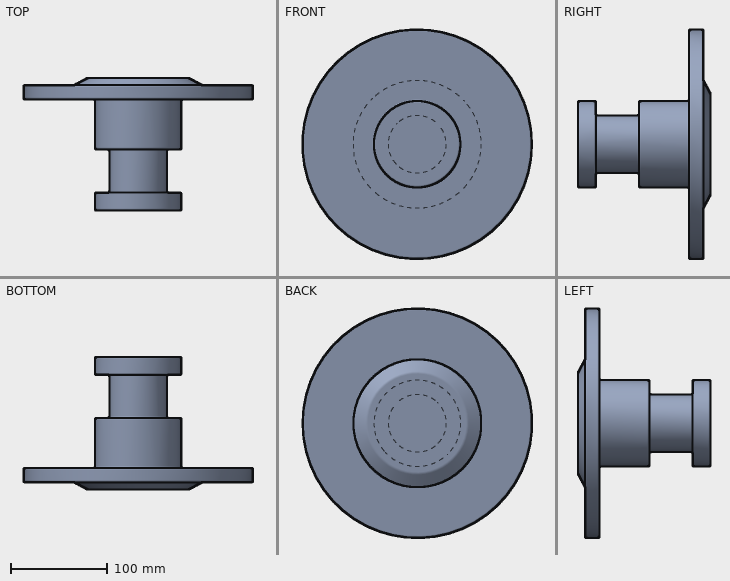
import cadquery as cq

plate_diameter = 238.67
hub_diameter = 90.0
neck_diameter = 60.0
knob_diameter = hub_diameter
boss_base_diameter = 133.0
boss_face_diameter = 105.0

overall_length = 137.98
boss_height = 7.5
plate_thickness = 15.0
hub_length = 52.0
neck_length = 44.7

outer_round = 2.0
inner_round = 1.5
boss_round = 5.0

plate_back = 0.0
boss_face = plate_back + boss_height
plate_front = plate_back - plate_thickness
hub_front = plate_front - hub_length
neck_front = hub_front - neck_length
knob_front = boss_face - overall_length


def cylinder(diameter, y_front, y_back):
    """Cylinder on the Y axis between two stations."""
    return cq.Workplane("XZ", origin=(0, y_back, 0)).circle(diameter / 2).extrude(y_back - y_front)


def make_boss():
    """Conical boss on the back of the plate, with a rounded rim."""
    boss = (
        cq.Workplane("XZ", origin=(0, plate_back, 0))
        .circle(boss_base_diameter / 2)
        .workplane(offset=-boss_height)
        .circle(boss_face_diameter / 2)
        .loft()
    )
    return boss.faces(">Y").edges().fillet(boss_round)


def make_plate():
    """Round flange plate with both rims rounded."""
    return cylinder(plate_diameter, plate_front, plate_back).edges("%CIRCLE").fillet(outer_round)


def make_hub():
    """Hub in front of the plate, with its front rim rounded."""
    return cylinder(hub_diameter, hub_front, plate_front).faces("<Y").edges().fillet(outer_round)


def make_neck():
    """Narrow neck between the hub and the knob."""
    return cylinder(neck_diameter, neck_front, hub_front)


def make_knob():
    """Front knob with both rims rounded."""
    return cylinder(knob_diameter, knob_front, neck_front).edges("%CIRCLE").fillet(outer_round)


def corner_edges(body, diameter, y_station):
    """Circular edges of the given diameter at the given station."""
    tolerance = 0.01
    half = diameter / 2 + tolerance
    corner_box = cq.selectors.BoxSelector(
        (-half, y_station - tolerance, -half),
        (half, y_station + tolerance, half),
        boundingbox=True,
    )
    return body.edges(corner_box)


def round_inner_corners(body):
    """Fillet the corners where hub and neck meet the larger bodies."""
    body = corner_edges(body, hub_diameter, plate_front).fillet(inner_round)
    for y_station in (hub_front, neck_front):
        body = corner_edges(body, neck_diameter, y_station).fillet(inner_round)
    return body


body = make_plate().union(make_boss()).union(make_hub()).union(make_neck()).union(make_knob())
result = round_inner_corners(body)